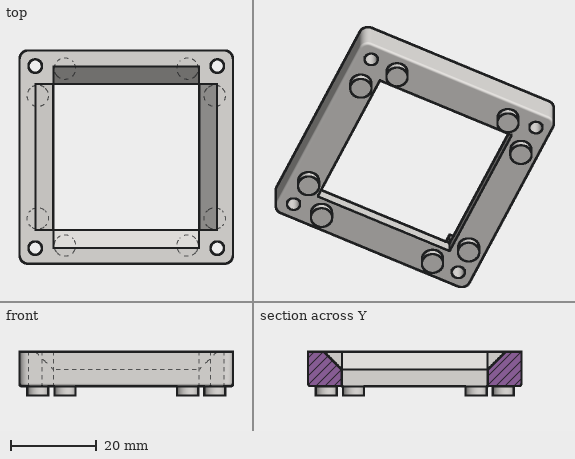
import cadquery as cq

side = 49.7
overall_height = 10.2
peg_height = 2.15
body_height = overall_height - peg_height
corner_radius = 2.1
bottom_edge_radius = 0.6

opening_side = 33.9
top_rim_width = 3.75
slope_depth = 4.15

hole_diameter = 3.1
hole_inset = 3.7

peg_diameter = 4.95
peg_outer_inset = 4.25
peg_inner_inset = 10.6


def make_body():
    """Rounded square block with a rounded bottom edge, standing above the pegs."""
    block = (
        cq.Workplane("XY")
        .workplane(offset=peg_height)
        .rect(side, side)
        .extrude(body_height)
        .edges("|Z")
        .fillet(corner_radius)
    )
    return block.faces("<Z").edges().fillet(bottom_edge_radius)


def make_slope_cutter():
    """Prism that slopes both Y walls of the opening, widest at the top face."""
    top_half = side / 2 - top_rim_width
    bottom_half = opening_side / 2
    slope_bottom = overall_height - slope_depth
    profile = [
        (-top_half, overall_height),
        (top_half, overall_height),
        (bottom_half, slope_bottom),
        (-bottom_half, slope_bottom),
    ]
    return cq.Workplane("YZ").polyline(profile).close().extrude(opening_side / 2, both=True)


def make_pegs():
    """Two pegs beside each corner, mirrored across the corner diagonal."""
    outer = side / 2 - peg_outer_inset
    inner = side / 2 - peg_inner_inset
    centers = []
    for x_sign in (-1, 1):
        for y_sign in (-1, 1):
            centers.append((x_sign * outer, y_sign * inner))
            centers.append((x_sign * inner, y_sign * outer))
    return cq.Workplane("XY").pushPoints(centers).circle(peg_diameter / 2).extrude(peg_height)


def make_corner_holes():
    """Through holes close to the four corners."""
    spacing = side - 2 * hole_inset
    return (
        cq.Workplane("XY")
        .rect(spacing, spacing, forConstruction=True)
        .vertices()
        .circle(hole_diameter / 2)
        .extrude(overall_height)
    )


opening = cq.Workplane("XY").rect(opening_side, opening_side).extrude(overall_height)
slope_cutter = make_slope_cutter()

result = make_body().cut(opening)
for turn in (0, 90):
    result = result.cut(slope_cutter.rotate((0, 0, 0), (0, 0, 1), turn))
result = result.union(make_pegs()).cut(make_corner_holes())